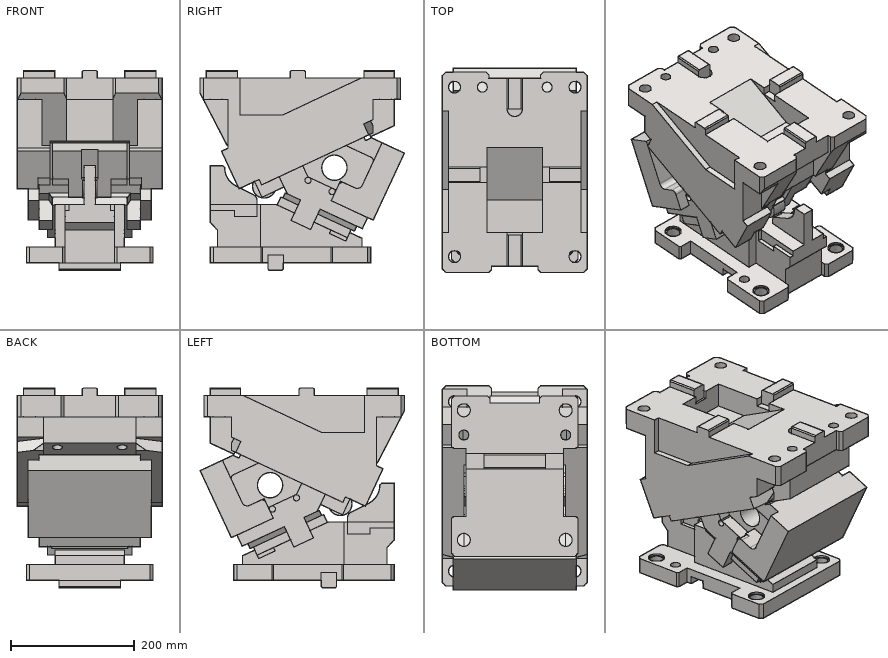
import cadquery as cq
import math


TILT = math.radians(25)

TOTAL_WIDTH = 235.0
TOP_LENGTH = 325.0
TOP_Z = 300.0
TOP_THICKNESS = 35.0
PLATE_CHAMFER = 6.0
NOTCH_CHAMFER = 4.5
EDGE_NOTCH_DEPTH = 10.0
REAR_NOTCH_WIDTH = 84.0
FRONT_NOTCH_WIDTH = 75.0
CORNER_HOLE_D = 19.0
CORNER_HOLE_X = 97.5
INNER_HOLE_D = 16.0
INNER_HOLE_X = 52.5
REAR_HOLE_S = 24.5
FRONT_HOLE_S = 299.0
BODY_REAR_S = 44.7
BODY_FRONT_S = 279.7
REAR_CORNER_P = -7.5
REAR_CORNER_INNER_P = -20.0
REAR_CORNER_Q = 19.5
GUIDE_END_P = 184.0
NOSE_FRONT_P = 220.0
NOSE_BOTTOM_Q = 9.6
NOSE_TOP_Q = 77.0
NOSE_NOTCH_WIDTH = 167.0
NOSE_NOTCH_Q = 29.5
NOSE_GAP_WIDTH = 128.0
TONGUE_WIDTH = 120.0
TONGUE_FRONT_P = 192.0
TONGUE_LEDGE_P = 161.0
TONGUE_TOP_Q = 64.0
TONGUE_BOTTOM_Q = 14.0
TONGUE_GROOVE_WIDTH = 26.5
TONGUE_GROOVE_DEPTH = 6.5
UNDERCUT_FRONT_S = 300.0
UNDERCUT_FRONT_Z = 198.5
RIB_INNER_X = FRONT_NOTCH_WIDTH / 2
RIB_OUTER_X = 77.0
RIB_TOP_Z = 275.0
RIB_TIP_S = 281.3
RIB_TIP_Z = 190.6
REAR_RIB_WIDTH = 150.0
REAR_RIB_S = 10.3
REAR_RIB_END_P = -8.7
REAR_RIB_Q = -4.0
POCKET_FRONT_S = 260.0
CENTRE_POCKET_WIDTH = 90.0
CENTRE_POCKET_REAR_S = 122.0
CENTRE_POCKET_FLOOR_S = 207.0
CENTRE_POCKET_DEPTH = 40.0
SIDE_POCKET_DEPTH_X = 10.0
SIDE_POCKET_REAR_S = 63.0
SIDE_POCKET_FLOOR_S = 190.5
SIDE_POCKET_DEPTH = 60.0
STOP_WIDTH = 69.0
STOP_REAR_P = 152.6
STOP_BOTTOM_Q = -18.5
LOBE_P = 181.3
LOBE_Q = -4.0
LOBE_RADIUS = 19.0
LOBE_WIDTH = 24.0

KEY_WIDTH = 25.0
KEY_RISE = 12.0
KEY_SEAT_DEPTH = 13.0
KEY_CHAMFER = 2.0
REAR_KEY_LENGTH = 49.5
FRONT_KEY_LENGTH = 51.0
SIDE_KEY_LENGTH = 51.0
SIDE_KEY_S = 166.5

SLIDER_WIDTH = 200.0
SLIDER_HEIGHT = 120.0
SLIDER_TIP_S = -6.32
SLIDER_TIP_Z = 178.0
JAW_U = 40.0
JAW_CORNER_RADIUS = 9.0
SHELF_U = 75.0
SHELF_W = 35.0
SHELF_RADIUS = 7.0
CORE_WIDTH = 164.0
CORE_REAR_U = 10.0
CORE_BOTTOM_W = -20.0
TOP_STEP_P = 1.0
TOP_STEP_Q = -6.0
WEB_WIDTH = 120.0
POCKET_TOP_W = 91.0
POCKET_RADIUS = 6.0
POCKET_LEDGE_W = 19.0
POCKET_FRONT_P = 110.5
RELIEF_RADIUS = 5.0
RELIEF_U = (80.0, 123.0)
CROSS_HOLE_D = 40.5
CROSS_HOLE_U = 92.9
CROSS_HOLE_W = 50.6
HOOK_REAR_U = 85.5
HOOK_FRONT_U = 120.5
HOOK_BOTTOM_W = -56.5
HOOK_INNER_X = 60.0
NECK_REAR_U = 20.0
NECK_FRONT_U = 148.0
NECK_TOP_X = 66.0
NECK_BOTTOM_X = 61.0
SKIRT_REAR_U = 26.0
SKIRT_FRONT_U = 151.7
SKIRT_WIDTH = 137.0
SKIRT_FRONT_WIDTH = 120.0
SKIRT_TOP_W = -29.0
SKIRT_BOTTOM_W = -43.3
LIP_FRONT_U = 55.3
LIP_BOTTOM_W = -49.4
LIP_THICKNESS = 8.0

FOOT_WIDTH = 205.0
FOOT_THICKNESS = 26.0
FOOT_REAR_S = 48.3
FOOT_FRONT_S = 308.5
FOOT_CHAMFER = 5.0
WAIST_WIDTH = 158.0
WAIST_REAR_S = 113.0
WAIST_FRONT_S = 223.5
WAIST_CHAMFER = 3.0
BOLT_X = 82.5
BOLT_ROW_S = (75.0, 285.0)
BOLT_D = 21.0
BOLT_CBORE_D = 26.0
BOLT_CBORE_DEPTH = 3.0
DOWEL_D = 16.0
DOWEL_S = 245.0
BED_WIDTH = 112.0
BED_REAR_S = 62.5
BED_FRONT_S = 227.0
BED_HEEL_W = -34.0
BLOCK_TOP_Z = 94.8
BLOCK_WIDTH = 80.0
BLOCK_BASE_S = 297.0
BLOCK_CHAMFER_LOW_Z = 53.5
BLOCK_CHAMFER_HIGH_Z = 65.7
LEDGE_WIDTH = 67.0
LEDGE_REAR_S = 232.5
LEDGE_STEP_S = 268.7
LEDGE_LOW_Z = 75.6
LEDGE_HIGH_Z = 85.2
FIN_WIDTH = 18.0
FIN_TOP_Z = 157.8
FIN_TOE_Z = 102.0
FIN_TOE_MIDDLE = (234.5, 107.5)
FIN_SLOPE_START = (240.0, 111.5)
FIN_SLOPE_END = (268.5, 126.0)
FIN_HOLLOW_MIDDLE = (280.5, 138.0)
FIN_HOLLOW_END = (284.7, 154.5)
FIN_TOP_REAR_S = 288.0
FOOT_KEY_LENGTH = 100.0
FOOT_KEY_S = 202.5

SLIDER_CORNER = (
    SLIDER_TIP_S + SLIDER_HEIGHT * math.sin(TILT),
    SLIDER_TIP_Z - SLIDER_HEIGHT * math.cos(TILT),
)
GUIDE_CORNER = (58.4, 204.3)


def bed_point(u, w):
    """(s, z) of a point u along the rising bed and w square to it, from the slider's lower rear corner."""
    s = SLIDER_CORNER[0] + u * math.cos(TILT) - w * math.sin(TILT)
    z = SLIDER_CORNER[1] + u * math.sin(TILT) + w * math.cos(TILT)
    return (s, z)


def guide_point(p, q):
    """(s, z) of a point p along the falling guide face and q square to it, from the guide's rear end."""
    s = GUIDE_CORNER[0] + p * math.cos(TILT) + q * math.sin(TILT)
    z = GUIDE_CORNER[1] - p * math.sin(TILT) + q * math.cos(TILT)
    return (s, z)


def side_sketch():
    """Workplane on the X = 0 plane with local axes s and z."""
    return cq.Workplane(cq.Plane(origin=(0, 0, 0), xDir=(0, -1, 0), normal=(-1, 0, 0)))


def slab(points, width):
    """Side outline extruded symmetrically about X = 0."""
    return side_sketch().polyline(points).close().extrude(width / 2, both=True)


def slab_pair(points, inner_x, outer_x):
    """Side outline extruded from inner_x to outer_x on both sides."""
    return slab(points, 2 * outer_x).cut(slab(points, 2 * inner_x))


def box(x_range, s_range, z_range):
    """Upright block between the given limits."""
    size = [high - low for low, high in (x_range, s_range, z_range)]
    corner = (x_range[0], -s_range[1], z_range[0])
    return cq.Workplane("XY").box(*size, centered=False).translate(corner)


def bed_section(points, rear_u, front_u):
    """Outline in (x, w) extruded along the driver bed."""
    s, z = bed_point(rear_u, 0)
    along = (0, -math.cos(TILT), math.sin(TILT))
    plane = cq.Plane(origin=(0, -s, z), xDir=(1, 0, 0), normal=along)
    return cq.Workplane(plane).polyline(points).close().extrude(front_u - rear_u)


def mirrored(points):
    """Outline closed by its mirror image about x = 0."""
    return points + [(-x, w) for x, w in reversed(points)]


def drill(body, diameter, points):
    """Vertical holes at (x, s) points through the top plate and the ribs below it."""
    top = cq.Workplane("XY", origin=(0, 0, TOP_Z)).pushPoints([(x, -s) for x, s in points])
    pins = top.circle(diameter / 2).extrude(RIB_TIP_Z - TOP_Z)
    return body.cut(pins)


def make_top_plate():
    bottom_z = TOP_Z - TOP_THICKNESS
    half = TOTAL_WIDTH / 2
    plate = box((-half, half), (0, TOP_LENGTH), (bottom_z, TOP_Z)).edges("|Z").chamfer(PLATE_CHAMFER)
    notches = (
        (REAR_NOTCH_WIDTH / 2, 0, EDGE_NOTCH_DEPTH, ">Y"),
        (FRONT_NOTCH_WIDTH / 2, TOP_LENGTH - EDGE_NOTCH_DEPTH, TOP_LENGTH, "<Y"),
    )
    for x, rear_s, front_s, side in notches:
        plate = plate.cut(box((-x, x), (rear_s, front_s), (bottom_z, TOP_Z)))
        near = cq.selectors.BoxSelector(
            (-x - 1, -front_s - 1, bottom_z - 1), (x + 1, -rear_s + 1, TOP_Z + 1)
        )
        plate = plate.edges("|Z").edges(near).edges(side).chamfer(NOTCH_CHAMFER)
    return plate


def make_holder_body():
    bottom_z = TOP_Z - TOP_THICKNESS
    outline = [
        (BODY_REAR_S, bottom_z),
        guide_point((BODY_REAR_S - GUIDE_CORNER[0]) / math.cos(TILT), 0),
        guide_point(GUIDE_END_P, 0),
        guide_point(GUIDE_END_P, NOSE_BOTTOM_Q),
        guide_point(NOSE_FRONT_P, NOSE_BOTTOM_Q),
        guide_point(NOSE_FRONT_P, NOSE_TOP_Q),
        guide_point((BODY_FRONT_S - guide_point(0, NOSE_TOP_Q)[0]) / math.cos(TILT), NOSE_TOP_Q),
        (BODY_FRONT_S, bottom_z),
    ]
    return slab(outline, TOTAL_WIDTH)


def guide_box(p_range, q_range, width):
    """Block square to the guide face, centred on X = 0."""
    (p0, p1), (q0, q1) = p_range, q_range
    corners = [guide_point(p, q) for p, q in ((p0, q0), (p1, q0), (p1, q1), (p0, q1))]
    return slab(corners, width)


def cut_rear_corners(body):
    """Slanted cuts that widen the slider's clearance at the two rear lower corners."""
    inner_x = REAR_RIB_WIDTH / 2
    outer_x = TOTAL_WIDTH / 2
    beyond_p = 2 * REAR_CORNER_INNER_P
    plan = [
        (outer_x, REAR_CORNER_P),
        (outer_x, beyond_p),
        (inner_x, beyond_p),
        (inner_x, REAR_CORNER_INNER_P),
    ]
    s, z = GUIDE_CORNER
    upward = (0, -math.sin(TILT), math.cos(TILT))
    face = cq.Workplane(cq.Plane(origin=(0, -s, z), xDir=(-1, 0, 0), normal=upward))
    for side in (-1, 1):
        outline = [(side * x, p) for x, p in plan]
        body = body.cut(face.polyline(outline).close().extrude(REAR_CORNER_Q))
    return body


def cut_nose(body):
    """Separates the two noses from the centre tongue and shapes the tongue."""
    front = NOSE_FRONT_P + 1
    body = body.cut(guide_box((GUIDE_END_P, front), (0, NOSE_NOTCH_Q), NOSE_NOTCH_WIDTH))
    gap = slab(
        [
            guide_point(TONGUE_LEDGE_P, TONGUE_TOP_Q),
            guide_point(TONGUE_LEDGE_P, 0),
            guide_point(front, 0),
            (UNDERCUT_FRONT_S, UNDERCUT_FRONT_Z),
        ],
        NOSE_GAP_WIDTH,
    )
    root = guide_box((TONGUE_LEDGE_P, GUIDE_END_P), (0, TONGUE_BOTTOM_Q), TONGUE_WIDTH)
    tongue = guide_box((TONGUE_LEDGE_P, TONGUE_FRONT_P), (TONGUE_BOTTOM_Q, TONGUE_TOP_Q), TONGUE_WIDTH)
    return body.cut(gap).union(root).union(tongue)


def cut_tongue_groove(holder):
    reach = (TONGUE_FRONT_P - TONGUE_GROOVE_DEPTH, TONGUE_FRONT_P)
    return holder.cut(guide_box(reach, (TONGUE_BOTTOM_Q, TONGUE_TOP_Q), TONGUE_GROOVE_WIDTH))


def make_ribs():
    bottom_z = TOP_Z - TOP_THICKNESS
    front = [
        (BODY_FRONT_S, bottom_z + 1),
        (TOP_LENGTH, bottom_z + 1),
        (TOP_LENGTH, bottom_z),
        (RIB_TIP_S, RIB_TIP_Z),
        (BODY_FRONT_S, RIB_TIP_Z),
    ]
    rear = [
        (REAR_RIB_S, bottom_z),
        guide_point((REAR_RIB_S - guide_point(0, REAR_RIB_Q)[0]) / math.cos(TILT), REAR_RIB_Q),
        guide_point(REAR_RIB_END_P, REAR_RIB_Q),
        guide_point(REAR_RIB_END_P, REAR_CORNER_Q),
        (guide_point(REAR_RIB_END_P, REAR_CORNER_Q)[0], bottom_z),
    ]
    return slab_pair(front, RIB_INNER_X, RIB_OUTER_X).union(slab(rear, REAR_RIB_WIDTH))


def make_front_bevel():
    """Material in front of the sloping face that runs from the ribs up to the plate's front edge."""
    return slab([(TOP_LENGTH, RIB_TOP_Z), (TOP_LENGTH, RIB_TIP_Z), (RIB_TIP_S, RIB_TIP_Z)], TOTAL_WIDTH)


def slope_pocket_outline(rear_s, floor_s, depth):
    """Pocket that slopes down from the rear to a level floor."""
    floor_z = TOP_Z - depth
    return [(rear_s, TOP_Z), (floor_s, floor_z), (POCKET_FRONT_S, floor_z), (POCKET_FRONT_S, TOP_Z)]


def make_key(x_range, s_range, chamfered_edges):
    key = box(x_range, s_range, (TOP_Z - KEY_SEAT_DEPTH, TOP_Z + KEY_RISE))
    return key.faces(">Z").edges(chamfered_edges).chamfer(KEY_CHAMFER)


def add_top_keys(holder):
    half = KEY_WIDTH / 2
    seat_z = (TOP_Z - KEY_SEAT_DEPTH, TOP_Z)
    front_s = TOP_LENGTH - EDGE_NOTCH_DEPTH
    rear_end = EDGE_NOTCH_DEPTH + REAR_KEY_LENGTH
    side_outer = TOTAL_WIDTH / 2 - SIDE_POCKET_DEPTH_X
    side_inner = side_outer - SIDE_KEY_LENGTH
    side_s = (SIDE_KEY_S - half, SIDE_KEY_S + half)

    holder = holder.cut(box((-half, half), (EDGE_NOTCH_DEPTH, rear_end), seat_z))
    round_end = cq.Workplane("XY", origin=(0, -rear_end, seat_z[0])).circle(half).extrude(KEY_SEAT_DEPTH)
    holder = holder.cut(round_end)
    holder = holder.cut(box((-half, half), (POCKET_FRONT_S, front_s), seat_z))
    holder = holder.cut(box((-side_outer, side_outer), side_s, seat_z))

    holder = holder.union(make_key((-half, half), (EDGE_NOTCH_DEPTH, rear_end), "|Y"))
    holder = holder.union(make_key((-half, half), (front_s - FRONT_KEY_LENGTH, front_s), "|Y"))
    holder = holder.union(make_key((side_inner, side_outer), side_s, "|X"))
    return holder.union(make_key((-side_outer, -side_inner), side_s, "|X"))


def make_stop():
    """Stop block that ends the slider's travel, with a rounded lobe in its middle."""
    stop = guide_box((STOP_REAR_P, TONGUE_FRONT_P), (STOP_BOTTOM_Q, NOSE_NOTCH_Q), STOP_WIDTH)
    lobe = side_sketch().center(*guide_point(LOBE_P, LOBE_Q)).circle(LOBE_RADIUS)
    return stop.union(lobe.extrude(LOBE_WIDTH / 2, both=True))


def make_holder():
    body = cut_rear_corners(make_holder_body())
    holder = cut_nose(body.union(make_ribs())).union(make_top_plate())
    holder = holder.cut(make_front_bevel())
    centre = slope_pocket_outline(CENTRE_POCKET_REAR_S, CENTRE_POCKET_FLOOR_S, CENTRE_POCKET_DEPTH)
    side = slope_pocket_outline(SIDE_POCKET_REAR_S, SIDE_POCKET_FLOOR_S, SIDE_POCKET_DEPTH)
    half = TOTAL_WIDTH / 2
    holder = holder.cut(slab(centre, CENTRE_POCKET_WIDTH))
    holder = holder.cut(slab_pair(side, half - SIDE_POCKET_DEPTH_X, half))
    holder = add_top_keys(cut_tongue_groove(holder.union(make_stop())))
    corners = [(x, s) for x in (-CORNER_HOLE_X, CORNER_HOLE_X) for s in (REAR_HOLE_S, FRONT_HOLE_S)]
    holder = drill(holder, CORNER_HOLE_D, corners)
    return drill(holder, INNER_HOLE_D, [(-INNER_HOLE_X, REAR_HOLE_S), (INNER_HOLE_X, REAR_HOLE_S)])


def bed_rectangle(rear_u, front_u, bottom_w, top_w):
    """Side outline of a block square to the driver bed."""
    corners = ((rear_u, bottom_w), (front_u, bottom_w), (front_u, top_w), (rear_u, top_w))
    return [bed_point(u, w) for u, w in corners]


def make_jaw():
    """Full-width L: the upright jaw and the shelf at its foot."""
    outline = [
        (0, 0),
        (SHELF_U, 0),
        (SHELF_U, SHELF_W),
        (JAW_U, SHELF_W),
        (JAW_U, SLIDER_HEIGHT),
        (0, SLIDER_HEIGHT),
    ]
    jaw = slab([bed_point(u, w) for u, w in outline], SLIDER_WIDTH)
    for (u, w), radius in (((JAW_U, SHELF_W), JAW_CORNER_RADIUS), ((SHELF_U, SHELF_W), SHELF_RADIUS)):
        s, z = bed_point(u, w)
        edge = cq.selectors.NearestToPointSelector((0, -s, z))
        jaw = jaw.edges("|X").edges(edge).fillet(radius)
    return jaw


def height_above_bed_line(point, start):
    """Distance of a point above the line through start that runs along the bed."""
    return (point[1] - start[1]) * math.cos(TILT) - (point[0] - start[0]) * math.sin(TILT)


def crossing_p(guide_start, bed_start):
    """Guide travel p from guide_start to the bed-parallel line through bed_start."""
    return height_above_bed_line(guide_start, bed_start) / math.sin(2 * TILT)


def crossing_q(guide_start, bed_start):
    """Offset q, square to the guide, from guide_start to the bed-parallel line through bed_start."""
    return -height_above_bed_line(guide_start, bed_start) / math.cos(2 * TILT)


def make_core():
    """Middle part whose top rides on the holder's guide face."""
    tip = bed_point(0, SLIDER_HEIGHT)
    p_top = crossing_p(guide_point(0, TOP_STEP_Q), tip)
    q_end = crossing_q(guide_point(STOP_REAR_P, 0), bed_point(0, CORE_BOTTOM_W))
    outline = [
        bed_point(CORE_REAR_U, CORE_BOTTOM_W),
        bed_point(CORE_REAR_U, 0),
        bed_point(0, 0),
        tip,
        guide_point(p_top, TOP_STEP_Q),
        guide_point(TOP_STEP_P, TOP_STEP_Q),
        guide_point(TOP_STEP_P, 0),
        guide_point(STOP_REAR_P, 0),
        guide_point(STOP_REAR_P, q_end),
    ]
    return slab(outline, CORE_WIDTH)


def make_side_pockets():
    """Pockets in both sides of the core that leave the central web."""
    p_rear = crossing_p(guide_point(0, 0), bed_point(0, POCKET_TOP_W))
    q_front = crossing_q(guide_point(POCKET_FRONT_P, 0), bed_point(0, POCKET_LEDGE_W))
    outline = [
        guide_point(p_rear, 0),
        bed_point(JAW_U, POCKET_TOP_W),
        bed_point(JAW_U, SHELF_W),
        bed_point(SHELF_U, SHELF_W),
        bed_point(SHELF_U, POCKET_LEDGE_W),
        guide_point(POCKET_FRONT_P, q_front),
        guide_point(POCKET_FRONT_P, 0),
    ]
    s, z = bed_point(JAW_U, POCKET_TOP_W)
    top_corner = cq.selectors.NearestToPointSelector((0, -s, z))
    pockets = slab(outline, CORE_WIDTH).edges("|X").edges(top_corner).fillet(POCKET_RADIUS)
    for u in RELIEF_U:
        relief = side_sketch().center(*bed_point(u, POCKET_LEDGE_W - RELIEF_RADIUS)).circle(RELIEF_RADIUS)
        pockets = pockets.union(relief.extrude(CORE_WIDTH / 2, both=True))
    reach = 2 * SLIDER_HEIGHT
    return pockets.cut(slab(bed_rectangle(-reach, reach, -reach, reach), WEB_WIDTH))


def make_saddle():
    """Neck and skirt that rest on the driver's bed; the skirt is narrower in front of the hooks."""
    neck = mirrored([(NECK_TOP_X, CORE_BOTTOM_W), (NECK_BOTTOM_X, SKIRT_TOP_W)])
    saddle = bed_section(neck, NECK_REAR_U, NECK_FRONT_U)
    rear = bed_rectangle(SKIRT_REAR_U, HOOK_FRONT_U, SKIRT_BOTTOM_W, SKIRT_TOP_W)
    front = bed_rectangle(HOOK_FRONT_U, SKIRT_FRONT_U, SKIRT_BOTTOM_W, SKIRT_TOP_W)
    return saddle.union(slab(rear, SKIRT_WIDTH)).union(slab(front, SKIRT_FRONT_WIDTH))


def make_lips():
    """Lips below the skirt, set into the driver's sides."""
    side = bed_rectangle(SKIRT_REAR_U, LIP_FRONT_U, LIP_BOTTOM_W, SKIRT_BOTTOM_W)
    return slab_pair(side, BED_WIDTH / 2 - LIP_THICKNESS, BED_WIDTH / 2)


def make_hooks():
    side = bed_rectangle(HOOK_REAR_U, HOOK_FRONT_U, HOOK_BOTTOM_W, CORE_BOTTOM_W)
    return slab_pair(side, HOOK_INNER_X, CORE_WIDTH / 2)


def make_slider():
    core = make_core().cut(make_side_pockets())
    hole = side_sketch().center(*bed_point(CROSS_HOLE_U, CROSS_HOLE_W)).circle(CROSS_HOLE_D / 2)
    core = core.cut(hole.extrude(SLIDER_WIDTH, both=True))
    return core.union(make_jaw()).union(make_saddle()).union(make_hooks()).union(make_lips())


def make_foot_plate():
    half = FOOT_WIDTH / 2
    waist = WAIST_WIDTH / 2
    plate = box((-half, half), (FOOT_REAR_S, FOOT_FRONT_S), (0, FOOT_THICKNESS))
    plate = plate.edges("|Z").chamfer(FOOT_CHAMFER)
    front = box((-BLOCK_WIDTH / 2, BLOCK_WIDTH / 2), (BLOCK_BASE_S, FOOT_FRONT_S), (0, FOOT_THICKNESS))
    plate = plate.cut(front)
    for side in (-1, 1):
        x_range = sorted((side * waist, side * half))
        cutter = box(x_range, (WAIST_REAR_S, WAIST_FRONT_S), (0, FOOT_THICKNESS))
        plate = plate.cut(cutter)
        for s in (WAIST_REAR_S, WAIST_FRONT_S):
            corner = cq.selectors.NearestToPointSelector((side * half, -s, FOOT_THICKNESS / 2))
            plate = plate.edges("|Z").edges(corner).chamfer(WAIST_CHAMFER)
        corner = (side * BLOCK_WIDTH / 2, -FOOT_FRONT_S, FOOT_THICKNESS / 2)
        plate = plate.edges("|Z").edges(cq.selectors.NearestToPointSelector(corner)).chamfer(NOTCH_CHAMFER)
    return plate


def drill_foot_plate(driver):
    bolts = [(x, -s) for x in (-BOLT_X, BOLT_X) for s in BOLT_ROW_S]
    top = cq.Workplane("XY", origin=(0, 0, FOOT_THICKNESS))
    holes = top.pushPoints(bolts).circle(BOLT_D / 2).extrude(-FOOT_THICKNESS)
    counterbores = top.pushPoints(bolts).circle(BOLT_CBORE_D / 2).extrude(-BOLT_CBORE_DEPTH)
    dowels = top.pushPoints([(-BOLT_X, -DOWEL_S), (BOLT_X, -DOWEL_S)]).circle(DOWEL_D / 2)
    return driver.cut(holes).cut(counterbores).cut(dowels.extrude(-FOOT_THICKNESS))


def make_bed():
    """Wedge under the slider, with a raised heel at the rear and a level front end."""
    heel_u = (BED_REAR_S - bed_point(0, BED_HEEL_W)[0]) / math.cos(TILT)
    level_u = (BLOCK_TOP_Z - bed_point(0, SKIRT_BOTTOM_W)[1]) / math.sin(TILT)
    outline = [
        (BED_REAR_S, 0),
        bed_point(heel_u, BED_HEEL_W),
        bed_point(SKIRT_REAR_U, BED_HEEL_W),
        bed_point(SKIRT_REAR_U, SKIRT_BOTTOM_W),
        bed_point(level_u, SKIRT_BOTTOM_W),
        (BED_FRONT_S, BLOCK_TOP_Z),
        (BED_FRONT_S, 0),
    ]
    return slab(outline, BED_WIDTH)


def make_front_block():
    outline = [
        (BED_FRONT_S, 0),
        (BLOCK_BASE_S, 0),
        (BLOCK_BASE_S, BLOCK_CHAMFER_LOW_Z),
        (FOOT_FRONT_S, BLOCK_CHAMFER_HIGH_Z),
        (FOOT_FRONT_S, BLOCK_TOP_Z),
        (BED_FRONT_S, BLOCK_TOP_Z),
    ]
    ledges = [
        (LEDGE_REAR_S, BLOCK_TOP_Z),
        (LEDGE_REAR_S, LEDGE_LOW_Z),
        (LEDGE_STEP_S, LEDGE_LOW_Z),
        (LEDGE_STEP_S, LEDGE_HIGH_Z),
        (FOOT_FRONT_S, LEDGE_HIGH_Z),
        (FOOT_FRONT_S, BLOCK_TOP_Z),
    ]
    return slab(outline, BLOCK_WIDTH).cut(slab_pair(ledges, LEDGE_WIDTH / 2, BLOCK_WIDTH / 2))


def make_fin():
    """Upright fin with a concave rear edge."""
    fin = (
        side_sketch()
        .moveTo(FOOT_FRONT_S, BLOCK_TOP_Z)
        .lineTo(LEDGE_REAR_S, BLOCK_TOP_Z)
        .lineTo(LEDGE_REAR_S, FIN_TOE_Z)
        .threePointArc(FIN_TOE_MIDDLE, FIN_SLOPE_START)
        .lineTo(*FIN_SLOPE_END)
        .threePointArc(FIN_HOLLOW_MIDDLE, FIN_HOLLOW_END)
        .lineTo(FIN_TOP_REAR_S, FIN_TOP_Z)
        .lineTo(FOOT_FRONT_S, FIN_TOP_Z)
        .close()
    )
    return fin.extrude(FIN_WIDTH / 2, both=True)


def make_foot_key():
    x = FOOT_KEY_LENGTH / 2
    s_range = (FOOT_KEY_S - KEY_WIDTH / 2, FOOT_KEY_S + KEY_WIDTH / 2)
    key = box((-x, x), s_range, (-KEY_RISE, KEY_SEAT_DEPTH))
    seat = box((-FOOT_WIDTH / 2, FOOT_WIDTH / 2), s_range, (0, KEY_SEAT_DEPTH))
    return key.faces("<Z").edges("|X").chamfer(KEY_CHAMFER), seat


def make_driver():
    key, key_seat = make_foot_key()
    driver = make_foot_plate().union(make_bed()).union(make_front_block()).union(make_fin())
    driver = drill_foot_plate(driver).cut(key_seat).union(key)
    return driver.cut(make_lips())


holder = make_holder()
slider = make_slider()
driver = make_driver()

result = cq.Compound.makeCompound([body.solids().val() for body in (holder, slider, driver)])